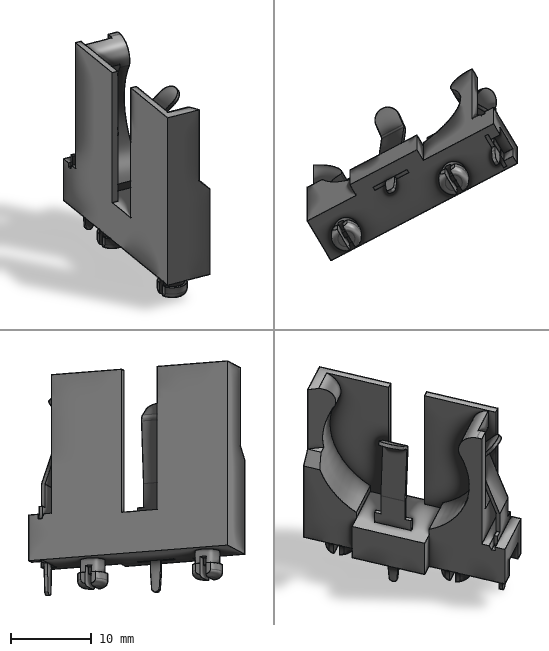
import cadquery as cq
import math


length = 26.43
total_height = 27.3
height = 23.31
depth = 6.03
front_plate = 0.8
step_length = 3.03
step_height = 5.8
floor_height = 5.21
coin_x = (step_length + length) / 2
front_slot_width = 4.7
block_width = 9.53
block_depth = 7.65

coin_radius = 10.05
coin_z = 15.02
lip_offset = 8.7
lip_z = coin_z + math.sqrt(coin_radius**2 - lip_offset**2)
left_mouth = 11.03
right_mouth = 10.48
mouth_radius = 2.68

relief_z = 13.4
relief_y_outer = 4.5
relief_offset = 7.37
relief_y_inner = 2.1
relief_drop = 1.53

window_width = 3.85
window_bottom = 10.5
window_top = 20.48
recess_depth = 0.98

sheet = 0.46
side_contact_x = 1.28
rear_contact_y = 5.95
contact_y = 2.73
shoulder_width = 4.8
shoulder_top = 6.82
tongue_width = 3.17
tongue_bend_z = 9.85
side_lean_length = 8.08
rear_lean_length = 7.84
side_lean = 20.0
rear_lean = 5.0
side_return = 40.0
rear_return = 52.0
side_tip_length = 3.45
rear_tip_length = 3.17
peak_radius = 0.5
tail_width = 1.3
tail_end_width = 1.0
tail_end_z = height - total_height
tail_taper_z = -1.47
tail_round_z = -3.6
barb_width = 1.67
barb_bottom = 0.3
barb_top = 2.35
barb_depth = 0.16

seat_groove_top = 2.07
access_width = 3.25
access_height = 2.65

peg_positions = (7.48, 22.7)
shank_diameter = 3.08
head_diameter = 3.75
head_width = 3.17
head_z = -1.75
peg_bottom = -3.45
head_round = 0.82
peg_slot_width = 0.8
notch_top = -0.9
web_thickness = 0.8


def box(x0, x1, y0, y1, z0, z1):
    """Block between the given limits."""
    return cq.Workplane("XY").box(x1 - x0, y1 - y0, z1 - z0, centered=False).translate((x0, y0, z0))


def coin_cavity():
    """Room for the coin, open at the back and widened at the mouth."""
    block_half = block_width / 2
    block_z = coin_z - math.sqrt(coin_radius**2 - block_half**2)
    return (
        cq.Workplane("XZ", origin=(coin_x, front_plate, 0))
        .moveTo(-block_half, floor_height)
        .lineTo(-block_half, block_z)
        .threePointArc((-coin_radius, coin_z), (-lip_offset, lip_z))
        .radiusArc((-left_mouth, height), -mouth_radius)
        .lineTo(right_mouth, height)
        .radiusArc((lip_offset, lip_z), -mouth_radius)
        .threePointArc((coin_radius, coin_z), (block_half, block_z))
        .lineTo(block_half, floor_height)
        .close()
        .extrude(-block_depth)
    )


def finger_relief():
    """Slanted cut at the back of the right wall, its floor falling towards the back."""
    inner_x = coin_x + relief_offset
    upper = (
        cq.Workplane("XY", origin=(0, 0, relief_z))
        .polyline([(length, relief_y_outer), (inner_x, relief_y_inner), (inner_x, depth), (length, depth)])
        .close()
        .extrude(height - relief_z)
    )
    falling_floor = (
        cq.Workplane("YZ", origin=(inner_x, 0, 0))
        .polyline([(relief_y_outer, relief_z), (depth, relief_z), (depth, relief_z - relief_drop)])
        .close()
        .extrude(length - inner_x)
    )
    return upper.union(falling_floor)


def side_groove():
    """Groove across the step behind the side contact, with one sloped side."""
    inner_x = side_contact_x + sheet
    return (
        cq.Workplane("XZ")
        .polyline([
            (side_contact_x, floor_height),
            (inner_x, floor_height),
            (seat_groove_top, step_height),
            (side_contact_x, step_height),
        ])
        .close()
        .extrude(-depth)
    )


def make_housing():
    """Coin holder with its step, cavity and contact seats."""
    half_slot = front_slot_width / 2
    half_block = block_width / 2
    half_shoulder = shoulder_width / 2
    half_access = access_width / 2
    recess_x = step_length + recess_depth

    body = box(0, length, 0, depth, 0, step_height)
    body = body.union(box(step_length, length, 0, depth, 0, height))
    body = body.union(box(coin_x - half_block, coin_x + half_block, 0, block_depth, 0, floor_height))
    body = body.cut(coin_cavity())
    body = body.cut(finger_relief())
    body = body.cut(box(coin_x - half_slot, coin_x + half_slot, 0, front_plate, floor_height, height))

    window_end = front_plate + window_width
    body = body.cut(box(step_length, recess_x, front_plate, window_end, window_bottom, height))
    body = body.cut(box(step_length, coin_x, front_plate, window_end, window_bottom, window_top))

    body = body.cut(side_groove())
    body = body.cut(box(
        side_contact_x, side_contact_x + sheet,
        contact_y - half_shoulder, contact_y + half_shoulder, 0, floor_height,
    ))
    body = body.cut(box(
        coin_x - half_shoulder, coin_x + half_shoulder,
        rear_contact_y - sheet, rear_contact_y, 0, floor_height,
    ))

    return body.cut(box(0, side_contact_x, contact_y - half_access, contact_y + half_access, 0, access_height))


def make_contact(lean, lean_length, return_angle, tip_length):
    """Contact with its outer face at X = 0, the coin on its +X side, and its middle at Y = 0."""
    half_shoulder = shoulder_width / 2
    plate = box(0, sheet, -half_shoulder, half_shoulder, 0, shoulder_top)

    half_tail = tail_width / 2
    half_end = tail_end_width / 2
    tail = (
        cq.Workplane("YZ")
        .moveTo(-half_tail, 0)
        .lineTo(-half_tail, tail_taper_z)
        .lineTo(-half_end, tail_round_z)
        .threePointArc((0, tail_end_z), (half_end, tail_round_z))
        .lineTo(half_tail, tail_taper_z)
        .lineTo(half_tail, 0)
        .close()
        .extrude(sheet)
    )

    lean = math.radians(lean)
    back = math.radians(return_angle)
    outer_radius = peak_radius + sheet
    lean_end_x = lean_length * math.sin(lean)
    lean_end_z = tongue_bend_z + lean_length * math.cos(lean)
    centre_x = lean_end_x - peak_radius * math.cos(lean)
    centre_z = lean_end_z + peak_radius * math.sin(lean)

    def on_bend(radius, angle):
        return (centre_x + radius * math.cos(angle), centre_z + radius * math.sin(angle))

    def along_tip(point, distance):
        return (point[0] - distance * math.sin(back), point[1] + distance * math.cos(back))

    middle = (back - lean) / 2
    straight_tip = tip_length - tongue_width / 2
    inner_tip = along_tip(on_bend(peak_radius, back), straight_tip)
    outer_tip = along_tip(on_bend(outer_radius, back), straight_tip)
    tongue = (
        cq.Workplane("XZ", origin=(0, tongue_width / 2, 0))
        .moveTo(0, shoulder_top)
        .lineTo(sheet, shoulder_top)
        .lineTo(sheet, tongue_bend_z - sheet * math.tan(lean / 2))
        .lineTo(*on_bend(outer_radius, -lean))
        .threePointArc(on_bend(outer_radius, middle), on_bend(outer_radius, back))
        .lineTo(*outer_tip)
        .lineTo(*inner_tip)
        .lineTo(*on_bend(peak_radius, back))
        .threePointArc(on_bend(peak_radius, middle), (lean_end_x, lean_end_z))
        .lineTo(0, tongue_bend_z)
        .close()
        .extrude(tongue_width)
    )
    tip_plane = cq.Plane(
        origin=(inner_tip[0], 0, inner_tip[1]),
        xDir=(0, 1, 0),
        normal=(math.cos(back), 0, math.sin(back)),
    )
    rounded_tip = cq.Workplane(tip_plane).circle(tongue_width / 2).extrude(sheet)
    return plate.union(tail).union(tongue).union(rounded_tip)


def barb_dent():
    """Sloped dent pressed into the outer face of the side contact, deepest at its lower end."""
    return (
        cq.Workplane("XZ", origin=(0, barb_width / 2, 0))
        .polyline([(0, barb_top), (barb_depth, barb_bottom), (0, barb_bottom)])
        .close()
        .extrude(barb_width)
    )


def make_peg(x):
    """Split snap-in peg below the housing."""
    shank = cq.Workplane("XY").circle(shank_diameter / 2).extrude(head_z)
    head = (
        cq.Workplane("XY", origin=(0, 0, head_z))
        .circle(head_diameter / 2)
        .extrude(peg_bottom - head_z)
        .faces("<Z")
        .edges()
        .fillet(head_round)
    )
    half_head = head_diameter / 2
    half_flats = head_width / 2
    half_slot = peg_slot_width / 2
    half_web = web_thickness / 2
    head = head.intersect(box(-half_head, half_head, -half_flats, half_flats, peg_bottom, head_z))
    slot = box(-half_slot, half_slot, -half_head, half_head, peg_bottom, notch_top)
    web = box(-half_slot, half_slot, -half_web, half_web, head_z, notch_top)
    return shank.union(head).cut(slot.cut(web)).translate((x, contact_y, 0))


housing = make_housing()

side_contact = make_contact(side_lean, side_lean_length, side_return, side_tip_length)
side_contact = side_contact.cut(barb_dent()).translate((side_contact_x, contact_y, 0))

rear_contact = make_contact(rear_lean, rear_lean_length, rear_return, rear_tip_length)
rear_contact = rear_contact.rotate((0, 0, 0), (0, 0, 1), -90).translate((coin_x, rear_contact_y, 0))

pegs = [make_peg(x).val() for x in peg_positions]

result = cq.Compound.makeCompound([housing.val(), side_contact.val(), rear_contact.val(), *pegs])